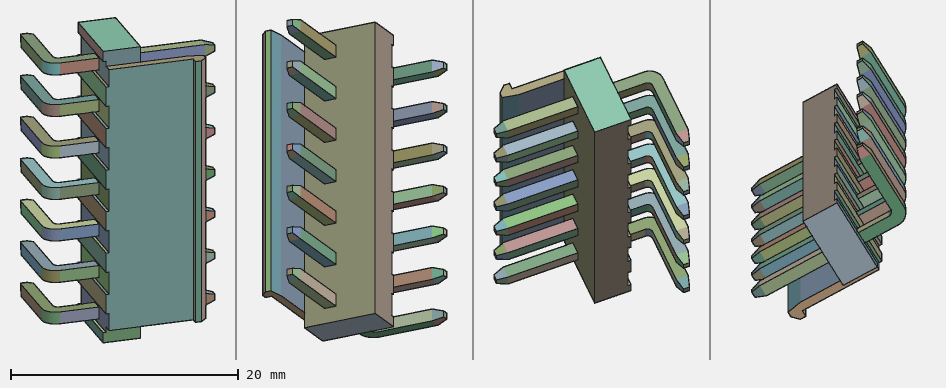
import cadquery as cq


block_length = 27.72
block_width = 7.05
block_depth = 3.46
block_right = 2.58
block_left = block_right - block_width

pin_count = 7
end_margin = 2.02
pin_pitch = (block_length - 2 * end_margin) / (pin_count - 1)
pin_z_places = [(i - (pin_count - 1) / 2) * pin_pitch for i in range(pin_count)]

pin_size = 1.15
pin_half = pin_size / 2
mating_reach = 11.1
bend_reach = 4.6
tail_reach = 7.45
tip_length = 1.0
tip_size = 0.58
bend_outer_radius = 1.28
bend_inner_radius = 0.5

groove_width = 2.1
groove_depth = 0.28

wall_thickness = 0.8
wall_length = (pin_count - 1) * pin_pitch + pin_size
wall_reach = 9.23
hook_height = 1.16
hook_overhang = 0.6
hook_flat = 0.55
lead_in = 0.28
lead_in_height = 1.45


def bar(width, depth, length):
    """Bar along Z, starting at the block's left side and at the grooved face."""
    centering = (False, False, True)
    return cq.Workplane("XY").box(width, depth, length, centered=centering).translate((block_left, 0, 0))


def latch_wall():
    outer = block_right + wall_thickness
    hook_base = wall_reach - hook_height
    outline = [
        (block_right, 0),
        (outer, 0),
        (outer, hook_base),
        (outer + hook_overhang, hook_base),
        (outer + hook_overhang, hook_base + hook_flat),
        (outer, wall_reach),
        (block_right + lead_in, wall_reach),
        (block_right, wall_reach - lead_in_height),
    ]
    return cq.Workplane("XY").polyline(outline).close().extrude(wall_length / 2, both=True)


def tapered_tip(base_plane):
    """Square tip narrowing along the normal of the plane at its base."""
    return (
        cq.Workplane(base_plane)
        .rect(pin_size, pin_size)
        .workplane(offset=tip_length)
        .rect(tip_size, tip_size)
        .loft(ruled=True)
    )


def pin():
    """One L-shaped pin, centred on Z = 0."""
    mating_base = mating_reach - tip_length
    tail_base = -tail_reach + tip_length
    bend_bottom = -bend_reach
    bend_top = bend_bottom + pin_size
    outline = [
        (pin_half, mating_base),
        (-pin_half, mating_base),
        (-pin_half, bend_top),
        (tail_base, bend_top),
        (tail_base, bend_bottom),
        (pin_half, bend_bottom),
    ]
    legs = cq.Workplane("XY").polyline(outline).close().extrude(pin_half, both=True)
    outer_corner = cq.selectors.NearestToPointSelector((pin_half, bend_bottom, 0))
    inner_corner = cq.selectors.NearestToPointSelector((-pin_half, bend_top, 0))
    legs = legs.edges(outer_corner).fillet(bend_outer_radius)
    legs = legs.edges(inner_corner).fillet(bend_inner_radius)

    mating_plane = cq.Plane(origin=(0, mating_base, 0), xDir=(1, 0, 0), normal=(0, 1, 0))
    tail_plane = cq.Plane(origin=(tail_base, bend_bottom + pin_half, 0), xDir=(0, 1, 0), normal=(-1, 0, 0))
    return legs.union(tapered_tip(mating_plane)).union(tapered_tip(tail_plane))


block = bar(block_width, block_depth, block_length)
groove = bar(block_width + wall_thickness, groove_depth, groove_width)
single_pin = pin()

result = block.union(latch_wall())
for z in pin_z_places:
    result = result.cut(groove.translate((0, 0, z)))
    result = result.union(single_pin.translate((0, 0, z)))